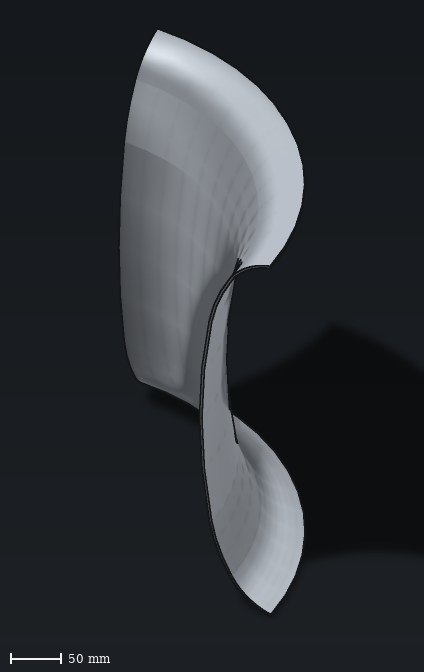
import cadquery as cq
import math

height = 445.8
outer_radius = 282.0
thickness = 3.0
turn_angle = 90.0

crown_radius = 728.0
crown_end_angle = 10.0
shoulder_radius = 181.0
shoulder_end_angle = 31.0
lip_end_angle = 77.3


def sine(angle):
    return math.sin(math.radians(angle))


def cosine(angle):
    return math.cos(math.radians(angle))


lip_rise = (
    height / 2
    - thickness * sine(lip_end_angle)
    - crown_radius * sine(crown_end_angle)
    - shoulder_radius * (sine(shoulder_end_angle) - sine(crown_end_angle))
)
lip_radius = lip_rise / (sine(lip_end_angle) - sine(shoulder_end_angle))

flare = (
    crown_radius * (1 - cosine(crown_end_angle))
    + shoulder_radius * (cosine(crown_end_angle) - cosine(shoulder_end_angle))
    + lip_radius * (cosine(shoulder_end_angle) - cosine(lip_end_angle))
)
waist_radius = outer_radius - flare

arcs = [
    (crown_radius, 0.0, crown_end_angle),
    (shoulder_radius, crown_end_angle, shoulder_end_angle),
    (lip_radius, shoulder_end_angle, lip_end_angle),
]


def half_face(offset):
    """Arc (middle, end) points from waist to upper edge, offset to the convex side."""
    points = []
    r = waist_radius - offset
    z = 0.0
    for concave_radius, start, end in arcs:
        radius = concave_radius + offset
        center_r = r + radius * cosine(start)
        center_z = z - radius * sine(start)
        for angle in ((start + end) / 2, end):
            r = center_r - radius * cosine(angle)
            z = center_z + radius * sine(angle)
            points.append((r, z))
    return points


def full_face(offset):
    """Points of one face from its lower edge to its upper edge."""
    upper = half_face(offset)
    lower = [(r, -z) for r, z in reversed(upper)]
    return lower + [(waist_radius - offset, 0.0)] + upper


def add_arcs(sketch, points):
    """Draw arcs through successive middle and end points."""
    for middle, end in zip(points[1::2], points[2::2]):
        sketch = sketch.threePointArc(middle, end)
    return sketch


concave_face = full_face(0.0)
convex_face = full_face(thickness)[::-1]

section = cq.Workplane("XZ").moveTo(*concave_face[0])
section = add_arcs(section, concave_face)
section = section.lineTo(*convex_face[0])
section = add_arcs(section, convex_face).close()

result = section.revolve(turn_angle, (0, 0, 0), (0, 1, 0))